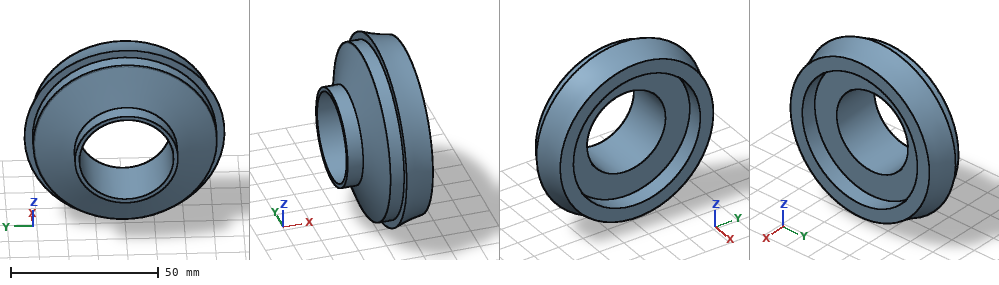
import cadquery as cq

rim_radius = 34.0
total_length = 26.0

hub_length = 5.5
cone_end = 10.6
band_start = 10.8
rim_start = 15.65
recess_floor = 19.5

bore_radius = 16.0
hub_radius = 17.5
cone_radius = 30.9
band_radius = 31.2
recess_radius = 25.85

rim_hollow = 0.35
rim_mid_point = (
    (rim_start + total_length) / 2,
    (rim_radius + band_radius) / 2 - rim_hollow,
)

half_section = (
    cq.Workplane("XZ")
    .moveTo(0, bore_radius)
    .lineTo(0, hub_radius)
    .lineTo(hub_length, hub_radius)
    .lineTo(cone_end, cone_radius)
    .lineTo(band_start, band_radius)
    .lineTo(rim_start, band_radius)
    .lineTo(rim_start, rim_radius)
    .threePointArc(rim_mid_point, (total_length, band_radius))
    .lineTo(total_length, recess_radius)
    .lineTo(recess_floor, recess_radius)
    .lineTo(recess_floor, bore_radius)
    .close()
)

result = half_section.revolve(360, (0, 0, 0), (1, 0, 0))